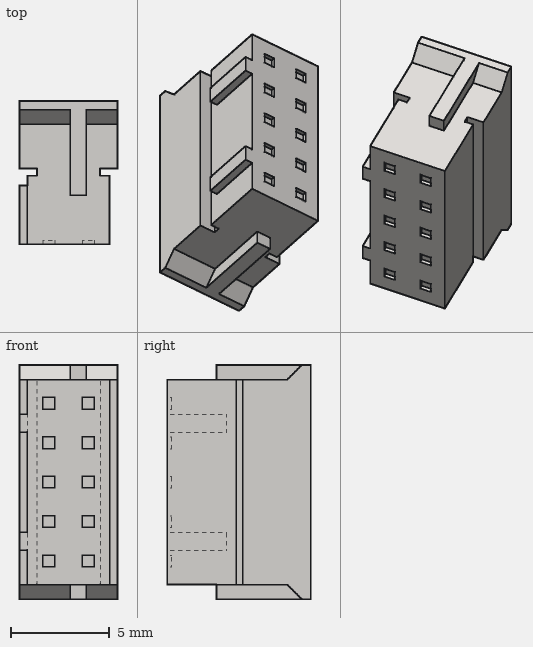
import cadquery as cq

width = 5.0
depth = 7.3
height = 11.9
front_y = -depth / 2
back_y = depth / 2

lip_overhang = 0.75
lip_thickness = 0.45
body_height = height - 2 * lip_overhang

back_block_depth = 3.45
groove_width = 0.35
groove_depth = 0.89
front_inset = 0.42
front_width = width - 2 * front_inset
neck_width = width - 2 * groove_depth
shoulder_y = back_y - back_block_depth
groove_front_y = shoulder_y - groove_width

rib_width = 0.81
rib_length = 4.8
rib_offset = 0.5

pitch = 2.0
contact_columns = 2
contact_rows = 5
contact_size = 0.6
contact_depth = 0.2

key_length = 3.0
key_height = 0.92
key_spacing = 3 * pitch


def block(x_size, y_start, y_end, z_size, x_centre=0.0, z_centre=0.0):
    """Box spanning y_start to y_end, centred in X and Z on the given point."""
    y_centre = (y_start + y_end) / 2
    return cq.Workplane("XY").box(x_size, y_end - y_start, z_size).translate((x_centre, y_centre, z_centre))


def make_body():
    back_block = block(width, shoulder_y, back_y, body_height)
    neck = block(neck_width, groove_front_y, shoulder_y, body_height)
    front_block = block(front_width, front_y, groove_front_y, body_height)
    return back_block.union(neck).union(front_block)


def make_lip():
    """Back plate whose overhangs slope at 45 degrees down to the body."""
    plate_y = back_y - lip_thickness
    slope_end_y = plate_y - lip_overhang
    outline = [
        (back_y, -height / 2),
        (plate_y, -height / 2),
        (slope_end_y, -body_height / 2),
        (slope_end_y, body_height / 2),
        (plate_y, height / 2),
        (back_y, height / 2),
    ]
    return cq.Workplane("YZ").polyline(outline).close().extrude(width / 2, both=True)


def make_ribs():
    """One full-height bar forms both the top and the bottom rib."""
    return block(rib_width, back_y - rib_length, back_y, height, x_centre=rib_offset)


def make_key(z_centre):
    key_x = -(width - front_inset) / 2
    return block(front_inset, front_y, front_y + key_length, key_height, key_x, z_centre)


def make_contact_pockets():
    return (
        cq.Workplane("XZ", origin=(0, front_y, 0))
        .rarray(pitch, pitch, contact_columns, contact_rows)
        .rect(contact_size, contact_size)
        .extrude(-contact_depth)
    )


result = make_body().union(make_lip()).union(make_ribs())
for side in (-1, 1):
    result = result.union(make_key(side * key_spacing / 2))
result = result.cut(make_contact_pockets())